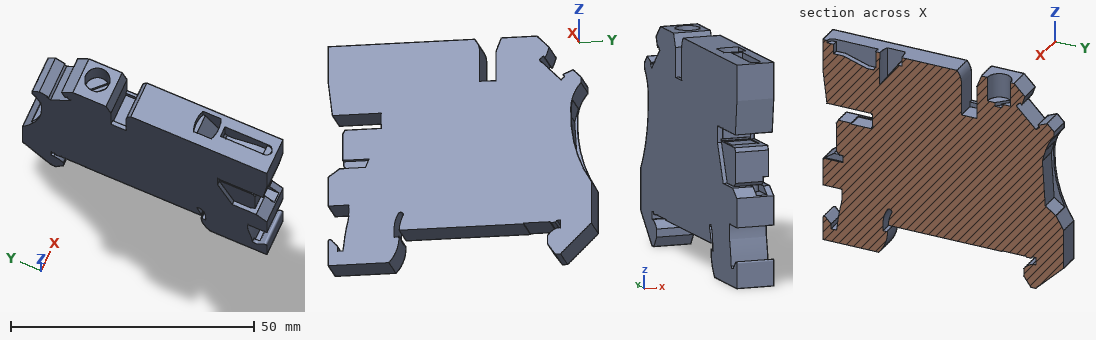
import cadquery as cq
import math

THICK = 8.15
LENGTH = 55.0
HEIGHT = 46.85

RECESS_TOP_Z = 32.05
RECESS_WALL_Y = 11.1
RAMP_TOP = (RECESS_WALL_Y, 28.55)
RAMP_FOOT = (7.8, 20.6)
LEDGE_Z = RAMP_FOOT[1]
LEDGE_EDGE = (2.4, LEDGE_Z)
LEDGE_FRONT_Z = 18.9
RAIL_FACE_Z = 6.8
GROOVE_FRONT_Y = 31.7
GROOVE_BACK_Y = 35.1
GROOVE_FLOOR_Z = 37.8
GROOVE_LEAD_Z = 44.05

BUTTON_LEFT_X = 0.9
BUTTON_TOP_Z = 28.8
BUTTON_FRONT_Y = 3.0
BUTTON_CUT_Y = 0.5
BUTTON_CUT_TOP = 0.9
BUTTON_CUT_BOTTOM = 0.8
BUTTON_NOTCH_X = 7.0
BUTTON_NOTCH_HEIGHT = 1.75
DISH_X = (1.45, 7.3)
DISH_FRONT_Y = 6.5
DISH_DEPTH = 0.2

WALL_POCKET_X = (1.2, 7.3)
WALL_POCKET_Z = (29.2, 31.9)
WALL_POCKET_DEPTH = 0.15
WALL_SLIT_DEPTH = 0.35

LEDGE_SLOT_X = 5.6
LEDGE_SLOT_WIDTH = 2.25
LEDGE_SLOT_FLOOR_Z = 19.15
LEDGE_SLOT_END_Y = 5.2

FOOT_HOLLOW_BACK = (3.25, 4.1)
FOOT_HOLLOW_FRONT = (1.9, 4.1)
TRENCH_LEFT_X = 0.9
TRENCH_FLOOR_Z = 3.0
TRENCH_FLOOR_BACK_Y = 3.1

SCREW_X = 4.6
SCREW_Y = 40.2
SHAFT_RADIUS = 2.6
SHAFT_DEPTH = 5.5
SCREW_SLOT_WIDTH = 1.0
SCREW_SLOT_DEPTH = 0.8
SCREW_SLOT_ANGLE = -45.0

OPENING_X = (2.3, 7.15)
OPENING_Y = (13.55, 17.55)
OPENING_BOW = 0.5
OPENING_STEP_Y = 17.05
OPENING_STEP_DEPTH = 2.0
OPENING_RAMP_ANGLE = 54.0

TEST_SLOT_X = 4.75
TEST_SLOT_WIDTH = 2.25
TEST_SLOT_Y = (1.05, 12.05)
SHELF_END_Y = 2.55
SHELF_DEPTH = 0.55
TEST_RAMP_Y = (4.7, 10.0)
TEST_MID_DEPTH = 2.75
TEST_RAMP_DROP = 1.65
REAR_BEVEL_LENGTH = 0.5
REAR_BEVEL_HEIGHT = 0.7

GROOVE_POCKET_X = (0.9, 7.5)
GROOVE_POCKET_DEPTH = 1.1

FINGER_X = (0.65, 7.4)
FINGER_BOTTOM_Z = 18.2
FINGER_TOP_Z = 33.0
FINGER_OUTSIDE_Y = 53.9


def profile_plane(x):
    """Workplane at the given X whose axes are Y and Z."""
    return cq.Workplane("YZ", origin=(x, 0, 0))


def side_prism(profile, x_range):
    """Extrude a closed Y-Z profile along X."""
    start, end = x_range
    return profile_plane(start).polyline(profile).close().extrude(end - start)


def block(x_range, y_range, z_range):
    """Box between the given limits."""
    spans = [high - low for low, high in (x_range, y_range, z_range)]
    corner = (x_range[0], y_range[0], z_range[0])
    return cq.Workplane("XY", origin=corner).box(*spans, centered=False)


def make_housing():
    outline = (
        profile_plane(0)
        .moveTo(0, HEIGHT)
        .lineTo(0, 39.25)
        .lineTo(0.9, RECESS_TOP_Z)
        .lineTo(RECESS_WALL_Y, RECESS_TOP_Z)
        .lineTo(*RAMP_TOP)
        .lineTo(*RAMP_FOOT)
        .lineTo(*LEDGE_EDGE)
        .lineTo(0, LEDGE_FRONT_Z)
        .lineTo(0, 12.75)
        .lineTo(4.3, 12.75)
        .threePointArc((4.35, 11.3), (4.2, 9.5))
        .threePointArc((3.65, 6.95), FOOT_HOLLOW_BACK)
        .threePointArc((2.65, 3.75), FOOT_HOLLOW_FRONT)
        .lineTo(0.7, 5.4)
        .threePointArc((0.35, 5.55), (0, 5.15))
        .lineTo(0, 0)
        .lineTo(12.7, 0)
        .threePointArc((14.25, 2.35), (14.8, 5.55))
        .lineTo(14.65, 5.4)
        .lineTo(13.8, 5.4)
        .lineTo(13.8, 6.9)
        .threePointArc((14.1, 9.0), (14.75, 10.45))
        .threePointArc((15.35, 10.6), (15.75, 10.1))
        .threePointArc((15.1, 8.5), (14.85, RAIL_FACE_Z))
        .lineTo(40.8, RAIL_FACE_Z)
        .lineTo(40.8, 7.0)
        .lineTo(46.3, 7.0)
        .lineTo(46.6, RAIL_FACE_Z)
        .lineTo(47.45, RAIL_FACE_Z)
        .lineTo(47.85, 7.2)
        .lineTo(48.55, 7.2)
        .lineTo(48.55, 5.6)
        .lineTo(47.95, 5.6)
        .threePointArc((47.1, 5.2), (45.8, 4.0))
        .lineTo(45.8, 2.3)
        .lineTo(47.45, 0)
        .lineTo(48.55, 0)
        .lineTo(LENGTH, 6.25)
        .lineTo(LENGTH, 15.1)
        .threePointArc((51.65, 22.55), (50.7, 30.25))
        .threePointArc((51.15, 33.55), (52.85, 36.4))
        .lineTo(52.85, 37.6)
        .lineTo(51.2, 39.25)
        .lineTo(49.05, 38.35)
        .lineTo(49.45, 37.95)
        .lineTo(48.7, 37.25)
        .lineTo(44.15, 41.75)
        .lineTo(45.0, 42.5)
        .lineTo(45.3, 42.15)
        .lineTo(45.65, 42.75)
        .lineTo(46.2, 44.35)
        .lineTo(43.65, HEIGHT)
        .lineTo(36.2, HEIGHT)
        .lineTo(GROOVE_BACK_Y, GROOVE_LEAD_Z)
        .lineTo(GROOVE_BACK_Y, GROOVE_FLOOR_Z)
        .lineTo(GROOVE_FRONT_Y, GROOVE_FLOOR_Z)
        .lineTo(GROOVE_FRONT_Y, GROOVE_LEAD_Z)
        .tangentArcPoint((30.65, HEIGHT), relative=False)
        .close()
    )
    return outline.extrude(THICK)


def make_button():
    front_cut_y = BUTTON_FRONT_Y + BUTTON_CUT_Y
    profile = [
        (RECESS_WALL_Y, BUTTON_TOP_Z),
        (front_cut_y, BUTTON_TOP_Z),
        (BUTTON_FRONT_Y, BUTTON_TOP_Z - BUTTON_CUT_TOP),
        (BUTTON_FRONT_Y, LEDGE_Z + BUTTON_CUT_BOTTOM),
        (BUTTON_FRONT_Y + BUTTON_CUT_BOTTOM, LEDGE_Z),
        RAMP_FOOT,
        RAMP_TOP,
    ]
    button = side_prism(profile, (BUTTON_LEFT_X, THICK))
    notch_z = (LEDGE_Z, LEDGE_Z + BUTTON_NOTCH_HEIGHT)
    notch = block((BUTTON_NOTCH_X, THICK), (0, RECESS_WALL_Y), notch_z)
    dish_z = (BUTTON_TOP_Z - DISH_DEPTH, BUTTON_TOP_Z)
    dish = block(DISH_X, (DISH_FRONT_Y, RECESS_WALL_Y), dish_z)
    return button.cut(notch).cut(dish)


def wall_pockets():
    pocket_y = (RECESS_WALL_Y, RECESS_WALL_Y + WALL_POCKET_DEPTH)
    pocket = block(WALL_POCKET_X, pocket_y, WALL_POCKET_Z)
    slit_x = (BUTTON_LEFT_X, WALL_POCKET_X[1])
    slit_y = (RECESS_WALL_Y, RECESS_WALL_Y + WALL_SLIT_DEPTH)
    slit = block(slit_x, slit_y, (BUTTON_TOP_Z, WALL_POCKET_Z[0]))
    return pocket.union(slit)


def ledge_slot():
    half = LEDGE_SLOT_WIDTH / 2
    return (
        cq.Workplane("XY", origin=(LEDGE_SLOT_X, 0, LEDGE_SLOT_FLOOR_Z))
        .moveTo(-half, 0)
        .lineTo(half, 0)
        .lineTo(half, LEDGE_SLOT_END_Y)
        .threePointArc((0, LEDGE_SLOT_END_Y - half), (-half, LEDGE_SLOT_END_Y))
        .close()
        .extrude(LEDGE_Z - LEDGE_SLOT_FLOOR_Z)
    )


def foot_trench():
    profile = [
        FOOT_HOLLOW_BACK,
        (TRENCH_FLOOR_BACK_Y, TRENCH_FLOOR_Z),
        (FOOT_HOLLOW_FRONT[0], TRENCH_FLOOR_Z),
        FOOT_HOLLOW_FRONT,
    ]
    return side_prism(profile, (TRENCH_LEFT_X, THICK))


def screw_shaft():
    head_z = HEIGHT - SHAFT_DEPTH
    head = cq.Workplane("XY", origin=(SCREW_X, SCREW_Y, head_z))
    shaft = head.circle(SHAFT_RADIUS).extrude(SHAFT_DEPTH)
    slot = (
        head.transformed(rotate=(0, 0, SCREW_SLOT_ANGLE))
        .rect(2 * SHAFT_RADIUS, SCREW_SLOT_WIDTH)
        .extrude(-SCREW_SLOT_DEPTH)
        .intersect(head.circle(SHAFT_RADIUS).extrude(-SCREW_SLOT_DEPTH))
    )
    return shaft.union(slot)


def screwdriver_opening():
    left, right = OPENING_X
    front, back = OPENING_Y
    middle = (left + right) / 2
    tip_y = front - OPENING_BOW
    heel_y = back + OPENING_BOW
    step_z = HEIGHT - OPENING_STEP_DEPTH
    ramp_drop = (OPENING_STEP_Y - tip_y) * math.tan(math.radians(OPENING_RAMP_ANGLE))
    well = (
        cq.Workplane("XY", origin=(0, 0, step_z - ramp_drop))
        .moveTo(left, front)
        .threePointArc((middle, tip_y), (right, front))
        .lineTo(right, back)
        .threePointArc((middle, heel_y), (left, back))
        .close()
        .extrude(OPENING_STEP_DEPTH + ramp_drop)
    )
    above_floor = [
        (tip_y, HEIGHT),
        (tip_y, step_z - ramp_drop),
        (OPENING_STEP_Y, step_z),
        (heel_y, step_z),
        (heel_y, HEIGHT),
    ]
    return well.intersect(side_prism(above_floor, OPENING_X))


def test_slot():
    half = TEST_SLOT_WIDTH / 2
    front, back = TEST_SLOT_Y
    plan = (
        cq.Workplane("XY", origin=(TEST_SLOT_X, 0, 0))
        .moveTo(-half, back)
        .lineTo(half, back)
        .lineTo(half, front + half)
        .threePointArc((0, front), (-half, front + half))
        .close()
        .extrude(HEIGHT)
    )
    shelf_z = HEIGHT - SHELF_DEPTH
    mid_z = HEIGHT - TEST_MID_DEPTH
    rear_z = mid_z - TEST_RAMP_DROP
    above_floor = [
        (front, HEIGHT),
        (front, shelf_z),
        (SHELF_END_Y, shelf_z),
        (SHELF_END_Y, mid_z),
        (TEST_RAMP_Y[0], mid_z),
        (TEST_RAMP_Y[1], rear_z),
        (back - REAR_BEVEL_LENGTH, rear_z),
        (back, rear_z + REAR_BEVEL_HEIGHT),
        (back, HEIGHT),
    ]
    return plan.intersect(side_prism(above_floor, (TEST_SLOT_X - half, TEST_SLOT_X + half)))


def groove_pocket():
    pocket_z = (GROOVE_FLOOR_Z - GROOVE_POCKET_DEPTH, GROOVE_FLOOR_Z)
    return block(GROOVE_POCKET_X, (GROOVE_FRONT_Y, GROOVE_BACK_Y), pocket_z)


def finger_recess():
    profile = [
        (53.2, FINGER_BOTTOM_Z),
        (50.8, 19.9),
        (50.15, 30.25),
        (50.95, FINGER_TOP_Z),
        (FINGER_OUTSIDE_Y, FINGER_TOP_Z),
        (FINGER_OUTSIDE_Y, FINGER_BOTTOM_Z),
    ]
    return side_prism(profile, FINGER_X)


result = make_housing().union(make_button())
for pocket in (
    wall_pockets(),
    ledge_slot(),
    foot_trench(),
    screw_shaft(),
    screwdriver_opening(),
    test_slot(),
    groove_pocket(),
    finger_recess(),
):
    result = result.cut(pocket)